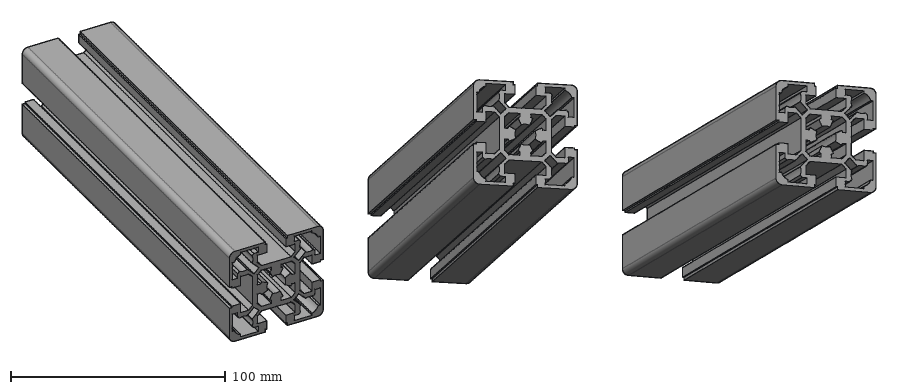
import cadquery as cq
import math

LENGTH = 200.0
WIDTH = 50.0
HALF = WIDTH / 2
OUTER_RADIUS = 3.0

SLOT_HALF = 5.0
LIP_DEPTH = 6.0
SLOT_INNER_HALF = 10.0
SLOT_FLOOR = 12.5
SLOT_CHAMFER = 2.2
LIP_STEP_WIDTH = 0.8
LIP_STEP_DEPTH = 1.5

BORE_RADIUS = 5.0

CORE_HALF = 10.0
CORE_CHAMFER = 2.0

RIB_NECK_HALF = 2.5
RIB_NECK_HEIGHT = 8.5
RIB_HEAD_HALF = 3.5
RIB_HEAD_HEIGHT = 7.8
RIB_TIP_HALF = 2.0

CORNER_WALL = 1.5
CORNER_OUTER = HALF - CORNER_WALL
CORNER_CENTRE = (CORE_HALF + HALF) / 2
FILL_START = 19.0
LIP_INNER = 9.5
EAR_TOP = 20.5
EAR_TIP = 19.5
EAR_FACE = 12.0
HEEL = 15.5
WEB_OFFSET = 2.5
DIAMOND_SUM = 21.2


def bar(outline):
    """Extrude a closed YZ outline along the full length."""
    return outline.extrude(LENGTH)


def section():
    """Sketch plane at the end of the bar: local x is Y, local y is Z."""
    return cq.Workplane("YZ").workplane(offset=-LENGTH / 2)


def at_four_sides(shape):
    """Repeat a shape by quarter turns about the bar axis."""
    pattern = shape
    for turn in range(1, 4):
        pattern = pattern.add(shape.rotate((0, 0, 0), (1, 0, 0), 90 * turn))
    return pattern.combine()


def bore_reach(offset):
    """Half chord of a bore at the given offset from its centre."""
    return math.sqrt(BORE_RADIUS**2 - offset**2)


def slot():
    """T-slot opening toward +Z."""
    right_side = [
        (SLOT_HALF + LIP_STEP_WIDTH, HALF),
        (SLOT_HALF + LIP_STEP_WIDTH, HALF - LIP_STEP_DEPTH),
        (SLOT_HALF, HALF - LIP_STEP_DEPTH),
        (SLOT_HALF, HALF - LIP_DEPTH),
        (SLOT_INNER_HALF, HALF - LIP_DEPTH),
        (SLOT_INNER_HALF, SLOT_FLOOR + SLOT_CHAMFER),
        (SLOT_INNER_HALF - SLOT_CHAMFER, SLOT_FLOOR),
    ]
    left_side = [(-y, z) for y, z in reversed(right_side)]
    return bar(section().polyline(right_side + left_side).close())


def core_rib():
    """Rib standing on the +Z core wall, with a head hollowed by the core bore."""
    tip = bore_reach(RIB_TIP_HALF)
    outline = (
        section()
        .moveTo(-RIB_NECK_HALF, CORE_HALF)
        .lineTo(-RIB_NECK_HALF, RIB_NECK_HEIGHT)
        .lineTo(-RIB_HEAD_HALF, RIB_HEAD_HEIGHT)
        .lineTo(-RIB_TIP_HALF, tip)
        .threePointArc((0, BORE_RADIUS), (RIB_TIP_HALF, tip))
        .lineTo(RIB_HEAD_HALF, RIB_HEAD_HEIGHT)
        .lineTo(RIB_NECK_HALF, RIB_NECK_HEIGHT)
        .lineTo(RIB_NECK_HALF, CORE_HALF)
        .close()
    )
    return bar(outline)


def core_chamber():
    """Chamfered square chamber around the axis, less its four ribs."""
    square = bar(section().rect(2 * CORE_HALF, 2 * CORE_HALF)).edges("|X").chamfer(CORE_CHAMFER)
    return square.cut(at_four_sides(core_rib()))


def corner_chamber():
    """Chamber in the +Y +Z corner, symmetric about the diagonal Y = Z."""
    middle = CORNER_CENTRE
    ear_tip = middle - bore_reach(EAR_TIP - middle)
    heel = middle - bore_reach(middle - HEEL)
    fill_edge = middle + bore_reach(FILL_START - middle)
    web_foot = (DIAMOND_SUM - WEB_OFFSET) / 2
    bore_side = middle - BORE_RADIUS
    corner_arc = middle + BORE_RADIUS * math.sqrt(0.5)
    outline = (
        section()
        .moveTo(web_foot, web_foot + WEB_OFFSET)
        .lineTo(HEEL - WEB_OFFSET, HEEL)
        .lineTo(heel, HEEL)
        .threePointArc((bore_side, middle), (ear_tip, EAR_TIP))
        .lineTo(EAR_FACE, EAR_TOP)
        .lineTo(LIP_INNER, EAR_TOP)
        .lineTo(LIP_INNER, CORNER_OUTER)
        .lineTo(FILL_START, CORNER_OUTER)
        .lineTo(FILL_START, fill_edge)
        .threePointArc((corner_arc, corner_arc), (fill_edge, FILL_START))
        .lineTo(CORNER_OUTER, FILL_START)
        .lineTo(CORNER_OUTER, LIP_INNER)
        .lineTo(EAR_TOP, LIP_INNER)
        .lineTo(EAR_TOP, EAR_FACE)
        .lineTo(EAR_TIP, ear_tip)
        .threePointArc((middle, bore_side), (HEEL, heel))
        .lineTo(HEEL, HEEL - WEB_OFFSET)
        .lineTo(web_foot + WEB_OFFSET, web_foot)
        .close()
    )
    return bar(outline)


body = bar(section().rect(WIDTH, WIDTH)).edges("|X").fillet(OUTER_RADIUS)
result = (
    body
    .cut(at_four_sides(slot()))
    .cut(at_four_sides(corner_chamber()))
    .cut(core_chamber())
)